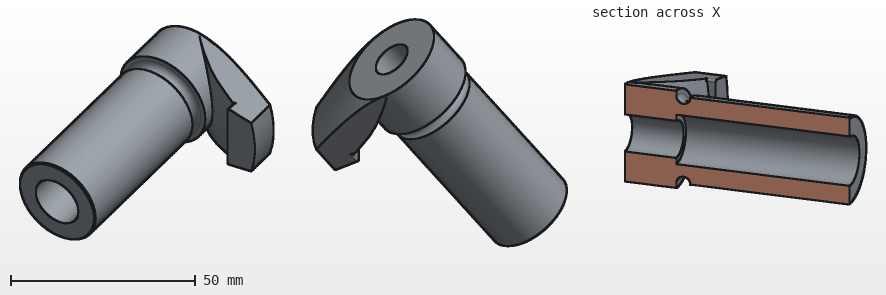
import cadquery as cq
import math

total_length = 65.5
head_radius = 28.0 / 2
head_length = 15.0
shank_radius = 25.0 / 2
shank_chamfer = 0.3
groove_width = 4.0
bore_radius = 14.0 / 2
narrow_bore_radius = 10.5 / 2
narrow_bore_length = head_length

arm_reach = 46.0 - head_radius
side_taper = math.radians(10)
top_slope = math.radians(25)
pad_start = 22.9
pad_face = -17.4
pad_top = -14.4
pad_corner_radius = 0.6

tangent_x = head_radius * math.sin(side_taper)
tangent_z = head_radius * math.cos(side_taper)

underside_root = (tangent_x, -2.95)
underside_middle = (7.8, -7.45)
underside_bend = (head_radius, -11.6)
underside_end = (pad_start, -15.65)
root_slope = math.radians(43)
crown_axis_height = 45.85


def make_post():
    """Head, half-round neck groove and shank, turned about Y."""
    groove_end = -(head_length + groove_width)
    groove_middle = -(head_length + groove_width / 2)
    floor_radius = shank_radius - groove_width / 2
    return (
        cq.Workplane("XY")
        .lineTo(head_radius, 0)
        .lineTo(head_radius, -head_length)
        .lineTo(shank_radius, -head_length)
        .threePointArc((floor_radius, groove_middle), (shank_radius, groove_end))
        .lineTo(shank_radius, shank_chamfer - total_length)
        .lineTo(shank_radius - shank_chamfer, -total_length)
        .lineTo(0, -total_length)
        .close()
        .revolve(360, (0, 0, 0), (0, 1, 0))
    )


def make_arm_prism():
    """Tapered arm outline with a tip arc about the post axis, from Y = 0 to the pad face."""
    side_length = math.sqrt(arm_reach**2 - head_radius**2)
    tip_x = tangent_x + side_length * math.cos(side_taper)
    tip_z = tangent_z - side_length * math.sin(side_taper)
    return (
        cq.Workplane("XZ")
        .moveTo(tangent_x, -tangent_z)
        .lineTo(tip_x, -tip_z)
        .threePointArc((arm_reach, 0), (tip_x, tip_z))
        .lineTo(tangent_x, tangent_z)
        .close()
        .extrude(-pad_face)
    )


def make_top_cone():
    """Space below the conical upper surface, which starts at the head's rim."""
    tip_drop = (arm_reach - head_radius) * math.tan(top_slope)
    return (
        cq.Workplane("XY")
        .lineTo(head_radius, 0)
        .lineTo(arm_reach, -tip_drop)
        .lineTo(arm_reach, pad_face)
        .lineTo(0, pad_face)
        .close()
        .revolve(360, (0, 0, 0), (0, 1, 0))
    )


def make_underside_limit():
    """Space above the crowned underside between the head and the pad."""
    steep = (math.cos(root_slope), -math.sin(root_slope))
    shallow = (underside_end[0] - underside_bend[0], underside_end[1] - underside_bend[1])
    return (
        cq.Workplane("XY")
        .moveTo(tangent_x, crown_axis_height)
        .lineTo(*underside_root)
        .spline(
            [underside_middle, underside_bend, underside_end],
            tangents=[steep, shallow],
            includeCurrent=True,
        )
        .lineTo(pad_start, crown_axis_height)
        .close()
        .revolve(360, (0, crown_axis_height, 0), (1, crown_axis_height, 0))
    )


def make_slab(top, bottom):
    """Block covering the pad end of the arm between two heights along Y."""
    return cq.Workplane("XY").box(
        arm_reach - pad_start, top - bottom, 2 * head_radius, centered=(False, False, True)
    ).translate((pad_start, bottom, 0))


def make_arm():
    """Arm with a clamping pad whose two inner upright corners are rounded."""
    prism = make_arm_prism()
    beam = prism.intersect(make_underside_limit())
    pad_root = prism.intersect(make_slab(0, pad_top))
    pad = prism.intersect(make_slab(pad_top, pad_face))
    pad = pad.faces("<X").edges("|Y").fillet(pad_corner_radius)
    return beam.union(pad_root).union(pad).intersect(make_top_cone())


def make_bore():
    """Through bore, narrower inside the head."""
    narrow = cq.Workplane("XZ").circle(narrow_bore_radius).extrude(total_length)
    wide = (
        cq.Workplane("XZ", origin=(0, -narrow_bore_length, 0))
        .circle(bore_radius)
        .extrude(total_length - narrow_bore_length)
    )
    return narrow.union(wide)


result = make_post().union(make_arm()).cut(make_bore())